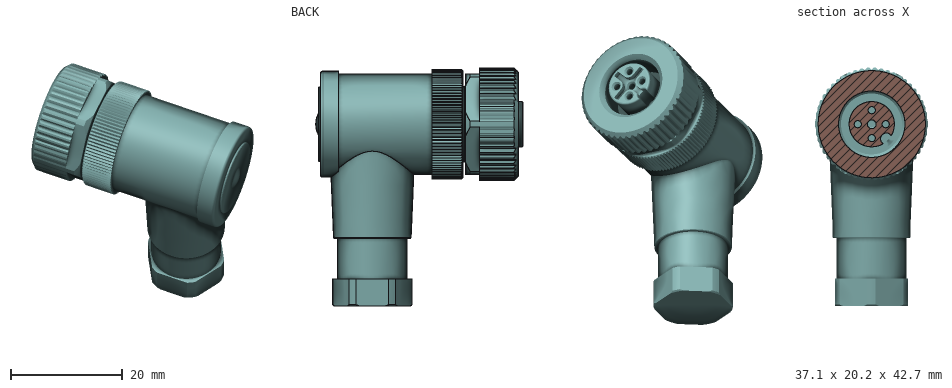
import cadquery as cq
import math


NUT_FRONT = 0.8
NUT_KNURL_END = 7.8
NUT_CHAMFER_START = 9.43
NUT_END = 10.23
COLLAR_END = 10.45
RING_START = 10.7
RING_END = 16.3
CAP_START = 33.0
CAP_END = 36.25
DISC_END = 36.6
TOTAL_LENGTH = 37.1

NUT_RADIUS = 10.1
NUT_FLATS = 18.0
NUT_FRONT_CHAMFER = 0.8
NUT_BACK_RADIUS = 9.42
NUT_TEETH = 52
NUT_TOOTH_TIP_ANGLE = 2.0
NUT_PLAIN_LAND_ANGLE = 5.9
LAND_ALLOWANCE = 0.1
NUT_GROOVE_DEPTH = 0.35
SHALLOW_GROOVE_STEP = 0.4
SIDE_GROOVE_LIMIT = 55.0
MOUTH_DIAMETER = 12.5
BORE_DIAMETER = 10.92
BORE_DEPTH = 7.0

COLLAR_RADIUS = 6.95
NECK_DIAMETER = 13.5
RING_RADIUS = 9.82
RING_TEETH = 100
RING_GROOVE_DEPTH = 0.27
RING_CHAMFER = 0.3
BODY_DIAMETER = 18.0
CAP_DIAMETER = 19.0
CAP_FILLET = 0.45
DISC_DIAMETER = 13.4
DISC_CHAMFER = 0.12
DOME_RADIUS = 1.95

INSERT_DIAMETER = 8.2
INSERT_FILLET = 0.3
PIN_CIRCLE_RADIUS = 2.5
PIN_HOLE_DIAMETER = 1.2
PIN_HOLE_DEPTH = 2.0
PIN_MOUTH_DIAMETER = 1.8
PIN_MOUTH_DEPTH = 0.3
RECESS_DEPTH = 1.0
SLOT_WIDTH = 1.05
SLOT_REACH = 3.6
KEY_DIAMETER = 2.0
KEY_CENTRE_RADIUS = 3.7
KEY_DEPTH = 5.0

OUTLET_X = 26.95
SHROUD_TOP_RADIUS = 7.79
SHROUD_END_RADIUS = 6.95
SHROUD_END_Z = -20.45
SHROUD_EDGE = 0.12
TUBE_DIAMETER = 12.5
CABLE_NUT_TOP_Z = -27.7
CABLE_NUT_END_Z = -32.58
CABLE_NUT_FLATS = 13.0
CABLE_NUT_DIAMETER = 14.24
CABLE_NUT_CHAMFER = 0.25


def polar(radius, degrees):
    angle = math.radians(degrees)
    return radius * math.cos(angle), radius * math.sin(angle)


def across_corners(flats):
    return flats / math.cos(math.radians(30))


def cross_section(x):
    """Sketch plane across the main axis; its local axes are Y and Z."""
    return cq.Workplane("YZ", origin=(x, 0, 0))


def rod(start, end, radius):
    return cross_section(start).circle(radius).extrude(end - start)


def turned(points):
    """Solid of revolution about X from (x, radius) points; the axis closes it."""
    closed = [(points[0][0], 0)] + points + [(points[-1][0], 0)]
    return cq.Workplane("XY").polyline(closed).close().revolve(360, (0, 0, 0), (1, 0, 0))


def cone(start, end, start_radius, end_radius):
    return turned([(start, start_radius), (end, end_radius)])


def nut_groove_roots(edge, next_edge, groove_angle):
    """Root points between two tooth edges of the coupling nut."""
    floor_radius = NUT_RADIUS - NUT_GROOVE_DEPTH
    from_y_axis = math.degrees(math.asin(abs(math.sin(math.radians(groove_angle)))))
    if from_y_axis > SIDE_GROOVE_LIMIT:
        return [polar(floor_radius, groove_angle)]

    low, high = sorted([edge, next_edge], key=lambda point: abs(point[1]))
    floor_half_height = math.sqrt(max(0, floor_radius**2 - high[0] ** 2))
    if floor_half_height <= abs(low[1]):
        return [(high[0], low[1] + math.copysign(SHALLOW_GROOVE_STEP, low[1]))]
    low_root = (math.copysign(math.sqrt(floor_radius**2 - low[1] ** 2), low[0]), low[1])
    high_root = (high[0], math.copysign(floor_half_height, high[1]))
    return [low_root, high_root] if low is edge else [high_root, low_root]


def nut_outline():
    """Outline of the knurl: toothed on both halves, with a plain land at each end of Y."""
    pitch = 360 / NUT_TEETH
    lands = []
    for half_start in (0, 180):
        lands.append((half_start, NUT_PLAIN_LAND_ANGLE / 2))
        for tooth in range(1, NUT_TEETH // 2 - 1):
            lands.append((half_start + (tooth + 0.5) * pitch, NUT_TOOTH_TIP_ANGLE / 2))
    points = []
    for index, (angle, half_width) in enumerate(lands):
        next_angle, next_half_width = lands[(index + 1) % len(lands)]
        start = polar(NUT_RADIUS, angle - half_width)
        end = polar(NUT_RADIUS, angle + half_width)
        next_start = polar(NUT_RADIUS, next_angle - next_half_width)
        groove_angle = angle + (next_angle - angle) % 360 / 2
        crest = polar(NUT_RADIUS + LAND_ALLOWANCE, angle)
        points += [start, crest, end]
        points += nut_groove_roots(end, next_start, groove_angle)
    return points


def coupling_nut():
    knurl = cross_section(NUT_FRONT).polyline(nut_outline()).close()
    knurl = knurl.extrude(NUT_KNURL_END - NUT_FRONT)
    hexagon = cross_section(NUT_KNURL_END).polygon(6, across_corners(NUT_FLATS))
    hexagon = hexagon.extrude(NUT_END - NUT_KNURL_END)
    envelope = turned([
        (NUT_FRONT, NUT_RADIUS - NUT_FRONT_CHAMFER),
        (NUT_FRONT + NUT_FRONT_CHAMFER, NUT_RADIUS),
        (NUT_CHAMFER_START, NUT_RADIUS),
        (NUT_END, NUT_BACK_RADIUS),
    ])
    mouth_depth = (MOUTH_DIAMETER - BORE_DIAMETER) / 2
    bore = turned([
        (NUT_FRONT, MOUTH_DIAMETER / 2),
        (NUT_FRONT + mouth_depth, BORE_DIAMETER / 2),
        (BORE_DEPTH, BORE_DIAMETER / 2),
    ])
    return knurl.union(hexagon).intersect(envelope).cut(bore)


def knurled_ring():
    pitch = 360 / RING_TEETH
    points = []
    for tooth in range(RING_TEETH):
        points.append(polar(RING_RADIUS - RING_GROOVE_DEPTH, tooth * pitch))
        points.append(polar(RING_RADIUS, (tooth + 0.5) * pitch))
    ring = cross_section(RING_START).polyline(points).close().extrude(RING_END - RING_START)
    envelope = turned([
        (RING_START, RING_RADIUS - RING_CHAMFER),
        (RING_START + RING_CHAMFER, RING_RADIUS),
        (RING_END, RING_RADIUS),
    ])
    return ring.intersect(envelope)


def body():
    neck_radius = NECK_DIAMETER / 2
    collar = cone(NUT_END, COLLAR_END, COLLAR_RADIUS, neck_radius)
    neck = rod(COLLAR_END, RING_START, neck_radius)
    barrel = rod(RING_START, CAP_START, BODY_DIAMETER / 2)
    return collar.union(neck).union(barrel)


def end_cap():
    cap = rod(CAP_START, CAP_END, CAP_DIAMETER / 2).faces(">X").edges().fillet(CAP_FILLET)
    disc = rod(CAP_END, DISC_END, DISC_DIAMETER / 2)
    disc = disc.faces(">X").chamfer(DISC_CHAMFER)
    dome_height = TOTAL_LENGTH - DISC_END
    sphere_radius = (DOME_RADIUS**2 + dome_height**2) / (2 * dome_height)
    along, across = polar(sphere_radius, math.degrees(math.asin(DOME_RADIUS / sphere_radius)) / 2)
    dome = cq.Workplane("XY").moveTo(DISC_END, 0).lineTo(DISC_END, DOME_RADIUS)
    dome = dome.threePointArc((TOTAL_LENGTH - sphere_radius + along, across), (TOTAL_LENGTH, 0))
    dome = dome.close().revolve(360, (0, 0, 0), (1, 0, 0))
    return cap.union(disc).union(dome)


def pin_hole(face_x, y, z):
    mouth_end = face_x + PIN_MOUTH_DEPTH
    mouth = cone(face_x, mouth_end, PIN_MOUTH_DIAMETER / 2, PIN_HOLE_DIAMETER / 2)
    hole = rod(face_x, face_x + PIN_HOLE_DEPTH, PIN_HOLE_DIAMETER / 2)
    return mouth.union(hole).translate((0, y, z))


def cross_recess(pin_places):
    """Crossed slots that widen to a hollow between the four outer contacts."""
    section = cross_section(0)
    recess = section.polyline(pin_places).close().extrude(RECESS_DEPTH)
    boss_radius = PIN_CIRCLE_RADIUS * math.sin(math.radians(45)) - SLOT_WIDTH / 2
    recess = recess.cut(section.pushPoints(pin_places).circle(boss_radius).extrude(RECESS_DEPTH))
    for angle in (45, 135):
        slot = section.rect(2 * SLOT_REACH, SLOT_WIDTH).extrude(RECESS_DEPTH)
        recess = recess.union(slot.rotate((0, 0, 0), (1, 0, 0), angle))
    return recess


def key_groove():
    y, z = polar(KEY_CENTRE_RADIUS, 225)
    return rod(0, KEY_DEPTH, KEY_DIAMETER / 2).translate((0, y, z))


def contact_insert():
    radius = INSERT_DIAMETER / 2
    insert = rod(0, BORE_DEPTH, radius).cut(key_groove())
    insert = insert.faces("<X").edges().fillet(INSERT_FILLET)
    pin_places = [polar(PIN_CIRCLE_RADIUS, angle) for angle in range(0, 360, 90)]
    insert = insert.cut(cross_recess(pin_places))
    for y, z in pin_places:
        insert = insert.cut(pin_hole(0, y, z))
    return insert.cut(pin_hole(RECESS_DEPTH, 0, 0))


def cable_outlet():
    section = cq.Workplane("XY", origin=(OUTLET_X, 0, 0))
    shroud_profile = [
        (0, 0),
        (SHROUD_TOP_RADIUS, 0),
        (SHROUD_END_RADIUS, SHROUD_END_Z + SHROUD_EDGE),
        (SHROUD_END_RADIUS - SHROUD_EDGE, SHROUD_END_Z),
        (0, SHROUD_END_Z),
    ]
    shroud = cq.Workplane("XZ", origin=(OUTLET_X, 0, 0)).polyline(shroud_profile).close().revolve()
    tube = section.circle(TUBE_DIAMETER / 2).extrude(CABLE_NUT_TOP_Z)
    nut_height = CABLE_NUT_TOP_Z - CABLE_NUT_END_Z
    nut_section = section.workplane(offset=CABLE_NUT_END_Z)
    nut = nut_section.polygon(6, across_corners(CABLE_NUT_FLATS)).extrude(nut_height)
    envelope = nut_section.circle(CABLE_NUT_DIAMETER / 2).extrude(nut_height)
    envelope = envelope.faces("<Z").chamfer(CABLE_NUT_CHAMFER)
    return shroud.union(tube).union(nut.intersect(envelope))


result = body().union(knurled_ring()).union(end_cap()).union(cable_outlet())
result = result.union(coupling_nut()).union(contact_insert())